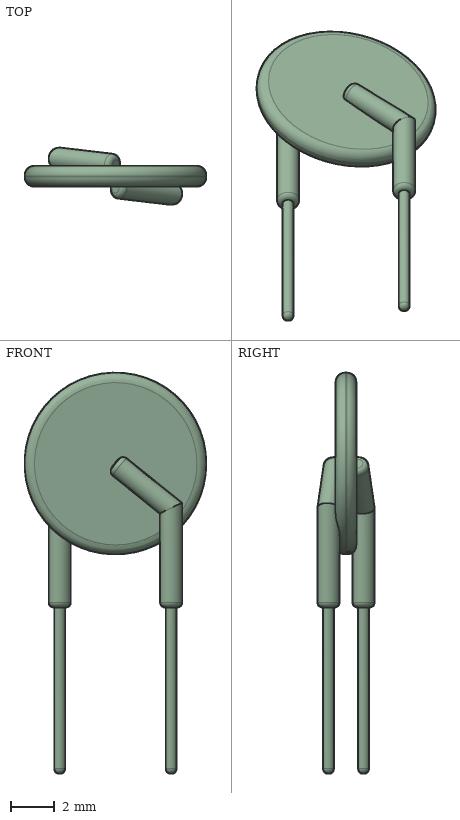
import cadquery as cq

disc_diameter = 8.3
disc_thickness = 0.96
rim_band = 0.06
rim_fillet = (disc_thickness - rim_band) / 2

overall_height = 18.3
overall_depth = 2.62
lead_pitch = 5.08
wire_diameter = 0.51
wire_tip_fillet = 0.25
sleeve_diameter = 1.02
sleeve_end_fillet = 0.25
sleeve_bottom_z = -6.57
bend_z = -2.05
sleeve_end_offset = 0.5

lead_x = lead_pitch / 2
lead_y = -(overall_depth - sleeve_diameter) / 2
wire_bottom_z = disc_diameter / 2 - overall_height


def make_disc():
    return (
        cq.Workplane("XZ")
        .circle(disc_diameter / 2)
        .extrude(disc_thickness / 2, both=True)
        .edges()
        .fillet(rim_fillet)
    )


def make_sleeve():
    """Round sleeve that rises vertically, then turns at a mitre towards the disc centre."""
    bottom = cq.Vector(lead_x, lead_y, sleeve_bottom_z)
    bend = cq.Vector(lead_x, lead_y, bend_z)
    upper_end = cq.Vector(0, -sleeve_end_offset, 0)
    path = cq.Workplane("XY").polyline([bottom, bend, upper_end])
    sleeve = (
        cq.Workplane(cq.Plane(bottom.toTuple(), xDir=(0, 1, 0), normal=(0, 0, 1)))
        .circle(sleeve_diameter / 2)
        .sweep(path, transition="right")
    )
    for end in (bottom, upper_end):
        end_face = cq.selectors.NearestToPointSelector(end.toTuple())
        sleeve = sleeve.faces(end_face).edges().fillet(sleeve_end_fillet)
    return sleeve


def make_wire():
    return (
        cq.Workplane("XY", origin=(lead_x, lead_y, wire_bottom_z))
        .circle(wire_diameter / 2)
        .extrude(bend_z - wire_bottom_z)
        .faces("<Z")
        .edges()
        .fillet(wire_tip_fillet)
    )


front_lead = make_sleeve().union(make_wire())
back_lead = front_lead.rotate((0, 0, 0), (0, 0, 1), 180)

result = make_disc().union(front_lead).union(back_lead)